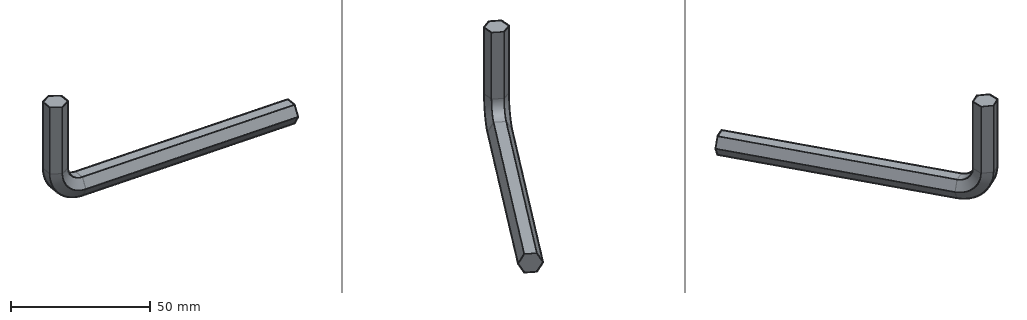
import cadquery as cq
import math

across_flats = 7.9
long_arm_length = 101.0
short_arm_length = 38.0
bend_radius = 10.0

across_corners = across_flats / math.cos(math.radians(30))
HEX_SIDES = 6


def make_centreline():
    """Run down the short arm, round the bend and out along the long arm."""
    bend_offset = bend_radius * (1 - math.sin(math.radians(45)))
    return (
        cq.Workplane("YZ")
        .moveTo(0, short_arm_length)
        .lineTo(0, bend_radius)
        .threePointArc((bend_offset, bend_offset), (bend_radius, 0))
        .lineTo(long_arm_length, 0)
    )


def make_hex_key():
    """Sweep the hexagon, with two corners on the X axis, along the centreline."""
    section = cq.Workplane("XY", origin=(0, 0, short_arm_length)).polygon(HEX_SIDES, across_corners)
    return section.sweep(make_centreline())


result = make_hex_key()